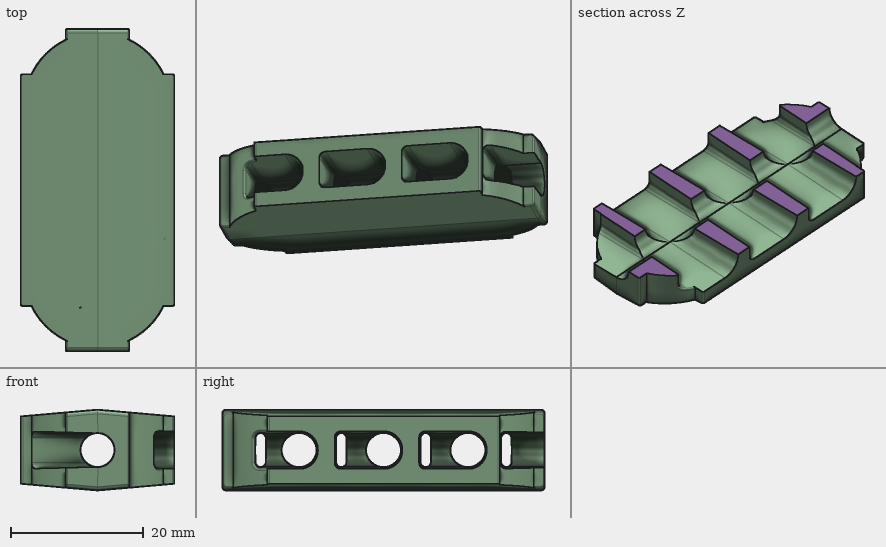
import cadquery as cq
import math

width = 23.11
length = 48.51
ridge_height = 12.19
side_height = 10.16

half_width = width / 2
half_length = length / 2
shoulder_y = 17.45
nose_half_width = 4.78
pitch = 12.7
end_arc_radius = 11.0

shoulder_fillet = 0.3
nose_top_fillet = 0.6
nose_side_fillet = 0.25
rim_fillet = 0.25

bore_diameter = 5.08
bore_clearance = 0.01
pocket_height = bore_diameter + bore_clearance
pocket_draft = 1.5
pocket_corner_radius = 0.7
pocket_length = 7.06
end_wall_shift = 0.57
overlap_width = 2 * pocket_length - pitch

cut_margin = 1.0
selection_margin = 0.01


def make_body():
    """Ridged bar whose plan outline has a narrow nose at each end."""
    section = (
        cq.Workplane("XZ")
        .polyline([
            (0, ridge_height / 2),
            (half_width, side_height / 2),
            (half_width, -side_height / 2),
            (0, -ridge_height / 2),
            (-half_width, -side_height / 2),
            (-half_width, side_height / 2),
        ])
        .close()
        .extrude(half_length, both=True)
    )
    return section.intersect(make_plan())


def make_plan():
    """Tall prism of the plan outline: a wide middle, two round ends and a narrow nose strip."""
    prism_height = 2 * ridge_height
    middle = cq.Workplane("XY").box(width, 2 * shoulder_y, prism_height).edges("|Z").fillet(shoulder_fillet)
    nose_strip = cq.Workplane("XY").box(2 * nose_half_width, length, prism_height)
    round_ends = (
        cq.Workplane("XY")
        .pushPoints([(0, pitch), (0, -pitch)])
        .circle(end_arc_radius)
        .extrude(prism_height / 2, both=True)
    )
    return middle.union(round_ends).union(nose_strip)


def round_noses(body):
    """Round the edges of both nose end faces."""
    for face in (">Y", "<Y"):
        body = body.faces(face).edges("not |Z").fillet(nose_top_fillet)
        body = body.faces(face).edges("|Z").fillet(nose_side_fillet)
    return body


def make_pocket(flat_y, round_y):
    """Drafted pocket from the mid-plane out past the -X side, flat at +Y and round at -Y."""
    half_height = pocket_height / 2
    corner_y = flat_y - pocket_corner_radius
    corner_z = half_height - pocket_corner_radius
    corner_mid = pocket_corner_radius * math.sqrt(0.5)
    plane = cq.Plane(origin=(0, 0, 0), xDir=(0, -1, 0), normal=(-1, 0, 0))
    return (
        cq.Workplane(plane)
        .moveTo(-round_y, half_height)
        .threePointArc((-round_y + half_height, 0), (-round_y, -half_height))
        .lineTo(-corner_y, -half_height)
        .threePointArc((-corner_y - corner_mid, -corner_z - corner_mid), (-flat_y, -corner_z))
        .lineTo(-flat_y, corner_z)
        .threePointArc((-corner_y - corner_mid, corner_z + corner_mid), (-corner_y, half_height))
        .close()
        .extrude(half_width + cut_margin, taper=-pocket_draft)
    )


def round_pocket_rim(body):
    """Round the rim where the +Y end pocket breaks through the round end."""
    zone_height = side_height / 3
    rim_zone = cq.selectors.BoxSelector(
        (-half_width, shoulder_y + selection_margin, -zone_height),
        (-nose_half_width, half_length, zone_height),
    )
    return body.edges(rim_zone).fillet(rim_fillet)


def make_half():
    """The -X half of the part, with its pockets and its half of the bore."""
    half_space = cq.Workplane("XY").box(width, 2 * length, 2 * ridge_height).translate((-width / 2, 0, 0))
    half = round_noses(make_body()).intersect(half_space)
    outer_flat = pitch + pocket_length - end_wall_shift
    half = half.cut(make_pocket(outer_flat, pitch))
    half = round_pocket_rim(half)
    for station in (-pitch, 0):
        half = half.cut(make_pocket(station + pocket_length, station))
    open_flat = overlap_width - outer_flat
    beyond_end = -half_length - pocket_height
    half = half.cut(make_pocket(open_flat, beyond_end))
    bore = cq.Workplane("XZ").circle(bore_diameter / 2).extrude(length, both=True)
    return half.cut(bore)


half = make_half()
result = half.union(half.rotate((0, 0, 0), (0, 0, 1), 180), clean=False)